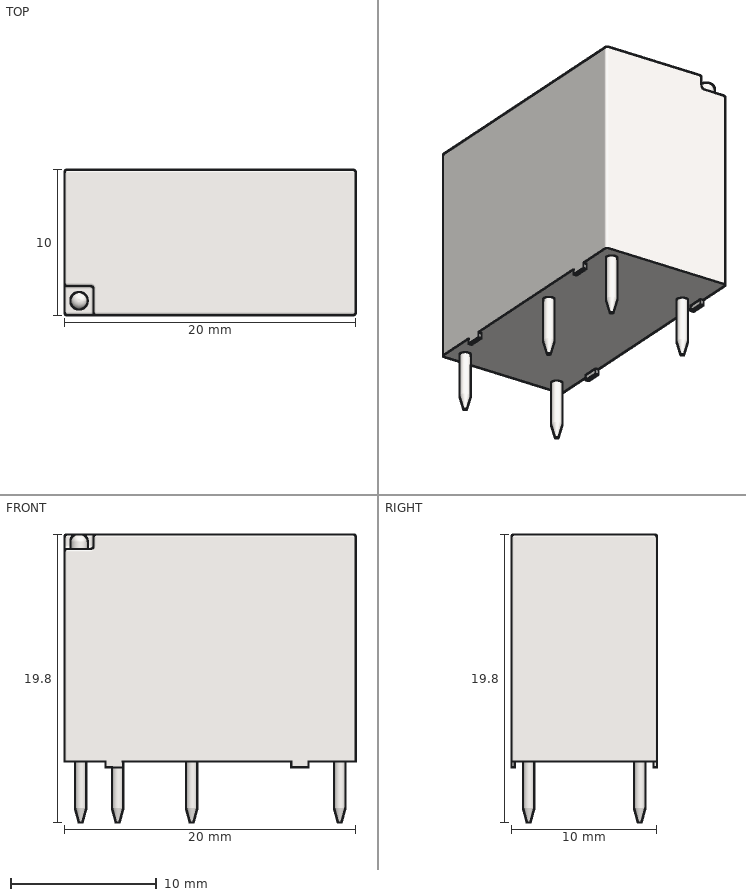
import cadquery as cq

HOUSING_LENGTH = 20.0
HOUSING_WIDTH = 10.0
HOUSING_HEIGHT = 15.6
EDGE_RADIUS = 0.2
LEFT = -HOUSING_LENGTH / 2
FRONT = -HOUSING_WIDTH / 2

POCKET_SIZE = 2.0
POCKET_DEPTH = 1.0
POCKET_FLOOR = HOUSING_HEIGHT - POCKET_DEPTH
STUD_RADIUS = 0.6
STUD_DOME_RADIUS = 0.5
STUD_X = LEFT + POCKET_SIZE / 2
STUD_Y = FRONT + POCKET_SIZE / 2

FOOT_LENGTH = 1.2
FOOT_THICKNESS = 0.25
FOOT_HEIGHT = 0.4
FOOT_STARTS = (LEFT + 2.8, LEFT + 15.55)

GRID = 2.54
PIN_RADIUS = 0.4
PIN_TIP_RADIUS = 0.125
PIN_LENGTH = 4.2
PIN_TAPER_LENGTH = 1.0
PIN_SHANK_LENGTH = PIN_LENGTH - PIN_TAPER_LENGTH
PIN_SPAN = 7 * GRID
ROW_Y = 3 * GRID / 2
FIRST_PIN_X = -PIN_SPAN / 2
PIN_PLACES = [
    (FIRST_PIN_X, ROW_Y),
    (FIRST_PIN_X + GRID, -ROW_Y),
    (FIRST_PIN_X + 3 * GRID, ROW_Y),
    (FIRST_PIN_X + PIN_SPAN, ROW_Y),
    (FIRST_PIN_X + PIN_SPAN, -ROW_Y),
]


def make_shell():
    """Block with a corner pocket, rounded on every edge except around the underside."""
    block = cq.Workplane("XY").box(
        HOUSING_LENGTH, HOUSING_WIDTH, HOUSING_HEIGHT, centered=(True, True, False)
    )
    pocket = (
        cq.Workplane("XY", origin=(LEFT, FRONT, POCKET_FLOOR))
        .rect(POCKET_SIZE, POCKET_SIZE, centered=False)
        .extrude(POCKET_DEPTH)
    )
    return block.cut(pocket).edges("not(<Z)").fillet(EDGE_RADIUS)


def make_stud():
    """Short round stud with a domed top, level with the top of the housing."""
    return (
        cq.Workplane("XY", origin=(STUD_X, STUD_Y, POCKET_FLOOR))
        .circle(STUD_RADIUS)
        .extrude(POCKET_DEPTH)
        .faces(">Z")
        .edges()
        .fillet(STUD_DOME_RADIUS)
    )


def make_foot(start_x, start_y):
    """Small rectangular foot below the underside."""
    return (
        cq.Workplane("XY", origin=(start_x, start_y, 0))
        .rect(FOOT_LENGTH, FOOT_THICKNESS, centered=False)
        .extrude(-FOOT_HEIGHT)
    )


def make_housing():
    housing = make_shell().union(make_stud())
    for start_x in FOOT_STARTS:
        for start_y in (FRONT, -FRONT - FOOT_THICKNESS):
            housing = housing.union(make_foot(start_x, start_y))
    return housing


def make_pin(x, y):
    """Round pin hanging from the underside, tapering to a small flat tip."""
    half_profile = (
        cq.Workplane("XZ", origin=(x, y, 0))
        .lineTo(PIN_RADIUS, 0)
        .lineTo(PIN_RADIUS, -PIN_SHANK_LENGTH)
        .lineTo(PIN_TIP_RADIUS, -PIN_LENGTH)
        .lineTo(0, -PIN_LENGTH)
        .close()
    )
    return half_profile.revolve(360, (0, 0, 0), (0, 1, 0))


housing = make_housing()
pins = [make_pin(x, y) for x, y in PIN_PLACES]

result = cq.Compound.makeCompound([housing.val(), *[pin.val() for pin in pins]])